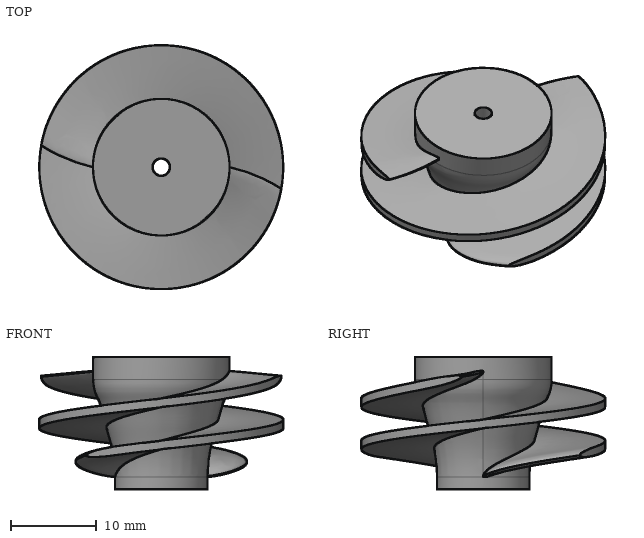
import cadquery as cq
import math

height = 15.38
hub_bottom_radius = 5.4
hub_top_radius = 7.95
flare_start = 1.42
flare_end = 12.77
flare_points = [(5.8, 5.02), (6.45, 7.38), (7.27, 10.22)]
bore_radius = 1.0

blade_count = 2
outer_radius = 14.2
blade_thickness = 1.02
blade_middle_height = 7.6
mid_pitch = 9.65
end_steepening = 1.22
steepening_power = 5
wrap = 360.0
leading_sweep = 52.0
leading_power = 1.5
trailing_sweep = 10.2
nose_angle = 15.0

blade_radii = [4.55, 5.68, 7.38, 9.08, 10.78, 12.5, 14.47]
nose_steps = 6
span_steps = 24


def mean_height(angle):
    """Height of the blade's middle surface at a wrap angle in degrees."""
    from_middle = angle - wrap / 2
    steepening = end_steepening * (2 * from_middle / wrap) ** steepening_power
    return blade_middle_height + mid_pitch * from_middle / 360 + steepening


def blade_ends(radius):
    """Wrap angles of the leading and trailing edges at a radius."""
    lead = max(0.0, (radius - hub_bottom_radius) / (outer_radius - hub_bottom_radius))
    trail = (radius - hub_top_radius) / (outer_radius - hub_top_radius)
    return leading_sweep * lead**leading_power, wrap - trailing_sweep * trail


def blade_stations(radius):
    """(wrap angle, half thickness) pairs with an elliptical nose at each end."""
    start, end = blade_ends(radius)
    half = blade_thickness / 2
    turns = [math.pi / 2 * i / nose_steps for i in range(nose_steps)]
    nose = [(nose_angle * (1 - math.cos(t)), half * math.sin(t)) for t in turns]
    plain = end - start - 2 * nose_angle
    leading = [(start + a, h) for a, h in nose]
    middle = [(start + nose_angle + plain * i / span_steps, half) for i in range(span_steps + 1)]
    trailing = [(end - a, h) for a, h in reversed(nose)]
    return leading + middle + trailing


def blade_edge(radius, side):
    """Upper (side=1) or lower (side=-1) blade curve on a cylinder."""
    points = []
    for angle, half in blade_stations(radius):
        turn = math.radians(angle)
        z = mean_height(angle) + side * half
        points.append(cq.Vector(radius * math.cos(turn), radius * math.sin(turn), z))
    return cq.Edge.makeSpline(points)


def make_blade():
    """Close the upper and lower surfaces with ruled inner and outer walls."""
    loft = cq.occ_impl.shapes.loft
    faces = []
    for side in (1, -1):
        wires = [cq.Wire.assembleEdges([blade_edge(r, side)]) for r in blade_radii]
        faces += loft(*wires).Faces()
    for radius in (blade_radii[0], blade_radii[-1]):
        faces.append(cq.Face.makeRuledSurface(blade_edge(radius, 1), blade_edge(radius, -1)))
    solid = cq.Solid.makeSolid(cq.Shell.makeShell(faces))
    rim = cq.Workplane("XY").circle(outer_radius).extrude(height)
    return rim.intersect(cq.Workplane(solid.fix()))


def make_hub():
    """Revolve the flared half-profile about Z."""
    flare_top = (hub_top_radius, flare_end)
    upright = (0, 1)
    return (
        cq.Workplane("XZ")
        .lineTo(hub_bottom_radius, 0)
        .lineTo(hub_bottom_radius, flare_start)
        .spline(flare_points + [flare_top], tangents=[upright, upright], includeCurrent=True)
        .lineTo(hub_top_radius, height)
        .lineTo(0, height)
        .close()
        .revolve(360, (0, 0, 0), (0, 1, 0))
    )


blade = make_blade()
result = make_hub()
for index in range(blade_count):
    result = result.union(blade.rotate((0, 0, 0), (0, 0, 1), 360 / blade_count * index))
result = result.cut(cq.Workplane("XY").circle(bore_radius).extrude(height))